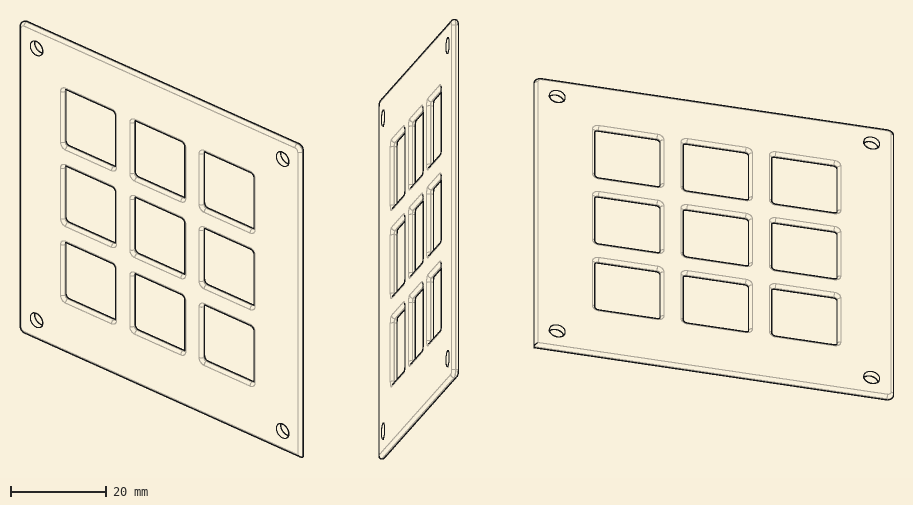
import cadquery as cq

side = 77.35
thickness = 1.5
corner_radius = 1.5
edge_round = 0.7

windows_per_side = 3
window_pitch = 19.0
window_size = 14.0
window_corner_radius = 0.7
grid_center_x = -0.5
grid_center_z = 0.5

hole_diameter = 3.4
hole_spacing = 67.6


def make_plate():
    """Plate with three rounded corners; the corner at +X, -Z stays square."""
    block = cq.Workplane("XY").box(side, thickness, side)
    return block.edges("|Y").edges("<X or >Z").fillet(corner_radius)


def make_windows():
    """Tools for the square grid of windows, with rounded corners."""
    return (
        cq.Workplane("XZ", origin=(grid_center_x, thickness / 2, grid_center_z))
        .rarray(window_pitch, window_pitch, windows_per_side, windows_per_side)
        .rect(window_size, window_size)
        .extrude(thickness)
        .edges("|Y")
        .fillet(window_corner_radius)
    )


def make_holes():
    """Tools for the four round through holes."""
    return (
        cq.Workplane("XZ", origin=(0, thickness / 2, 0))
        .rarray(hole_spacing, hole_spacing, 2, 2)
        .circle(hole_diameter / 2)
        .extrude(thickness)
    )


framed_plate = make_plate().cut(make_windows())
rounded_plate = framed_plate.faces("<Y or >Y").edges().fillet(edge_round)
result = rounded_plate.cut(make_holes())